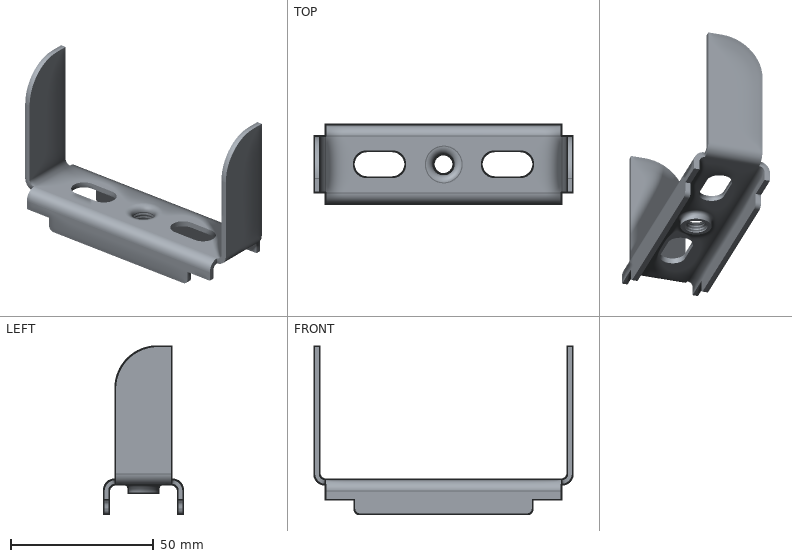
import cadquery as cq
import math

overall_length = 91.0
overall_width = 28.0
overall_height = 59.22

sheet = 2.0
inner_bend = 2.0
outer_bend = inner_bend + sheet

base_length = overall_length - 2 * outer_bend
base_width = overall_width - 2 * outer_bend

flange_depth = 7.3
tab_depth = 12.4
tab_length = 62.8
tab_corner_radius = 2.0

arm_height = overall_height - tab_depth
arm_corner_radius = 15.0

slot_length = 18.0
slot_width = 9.0
slot_spacing = 45.0

collar_radius = 5.45
collar_depth = 5.0
collar_root_fillet = 1.0

mouth_radius = collar_radius + collar_root_fillet
thread_pitch = 1.25
thread_major_radius = 4.0
thread_minor_radius = 3.4
mouth_fillet = mouth_radius - thread_minor_radius

thread_overlap = 0.1
first_groove_depth = 2.38
groove_root_width = 0.4
groove_count = 3


def bent_strip(plane, edge, leg_end, length):
    """Quarter bend from the base edge followed by a straight leg, extruded symmetrically.

    A positive leg_end bends the leg up, a negative one bends it down.
    """
    half_way = math.sqrt(0.5)
    upward = leg_end > 0
    centre_height = inner_bend if upward else -outer_bend
    plate_side = -1 if upward else 1
    top_radius, under_radius = (inner_bend, outer_bend) if upward else (outer_bend, inner_bend)

    def middle(radius):
        return edge + radius * half_way, centre_height + plate_side * radius * half_way

    return (
        cq.Workplane(plane)
        .moveTo(edge, 0)
        .threePointArc(middle(top_radius), (edge + top_radius, centre_height))
        .lineTo(edge + top_radius, leg_end)
        .lineTo(edge + under_radius, leg_end)
        .lineTo(edge + under_radius, centre_height)
        .threePointArc(middle(under_radius), (edge, -sheet))
        .close()
        .extrude(length / 2, both=True)
    )


def make_base():
    plate = cq.Workplane("XY").box(base_length, base_width, sheet, centered=(True, True, False))
    return plate.translate((0, 0, -sheet))


def make_arm():
    """Upright arm at the +X end, rounded at its upper +Y corner."""
    arm = bent_strip("XZ", base_length / 2, arm_height, base_width)
    return arm.edges("|X").edges(">Z and >Y").fillet(arm_corner_radius)


def make_flange():
    """Downward flange on the +Y side with a longer tab in the middle."""
    flange = bent_strip("YZ", base_width / 2, -flange_depth, base_length)
    tab = (
        cq.Workplane("XY")
        .box(tab_length, sheet, tab_depth - outer_bend, centered=(True, False, False))
        .translate((0, overall_width / 2 - sheet, -tab_depth))
        .edges("|Y and <Z")
        .fillet(tab_corner_radius)
    )
    return flange.union(tab)


def make_collar():
    """Solid boss under the base with a concave fillet at its root."""
    arc_offset = collar_root_fillet * (1 - math.sqrt(0.5))
    profile = (
        cq.Workplane("XZ")
        .moveTo(0, 0)
        .lineTo(mouth_radius, 0)
        .lineTo(mouth_radius, -sheet)
        .threePointArc(
            (collar_radius + arc_offset, -sheet - arc_offset),
            (collar_radius, -sheet - collar_root_fillet),
        )
        .lineTo(collar_radius, -collar_depth)
        .lineTo(0, -collar_depth)
        .close()
    )
    return profile.revolve(360, (0, 0, 0), (0, 1, 0))


def make_bore():
    """Bore cutter: rounded mouth running tangentially into the thread's minor cylinder."""
    arc_inset = mouth_fillet * math.sqrt(0.5)
    profile = (
        cq.Workplane("XZ")
        .moveTo(0, 0)
        .lineTo(mouth_radius, 0)
        .threePointArc(
            (mouth_radius - arc_inset, arc_inset - mouth_fillet),
            (thread_minor_radius, -mouth_fillet),
        )
        .lineTo(thread_minor_radius, -collar_depth)
        .lineTo(0, -collar_depth)
        .close()
    )
    return profile.revolve(360, (0, 0, 0), (0, 1, 0))


def make_thread_grooves():
    """Ring-shaped cutters with 60 degree flanks, one per thread pitch, standing in for the thread."""
    inner_radius = thread_minor_radius - thread_overlap
    root_half_width = groove_root_width / 2
    flank_rise = (thread_major_radius - inner_radius) * math.tan(math.radians(30))
    inner_half_width = root_half_width + flank_rise
    ring = (
        cq.Workplane("XZ")
        .moveTo(inner_radius, -inner_half_width)
        .lineTo(thread_major_radius, -root_half_width)
        .lineTo(thread_major_radius, root_half_width)
        .lineTo(inner_radius, inner_half_width)
        .close()
        .revolve(360, (0, 0, 0), (0, 1, 0))
    )
    grooves = cq.Workplane("XY")
    for turn in range(groove_count):
        groove_depth = first_groove_depth + turn * thread_pitch
        grooves = grooves.add(ring.translate((0, 0, -groove_depth)))
    return grooves.combine()


def make_slots():
    return (
        cq.Workplane("XY")
        .pushPoints([(-slot_spacing / 2, 0), (slot_spacing / 2, 0)])
        .slot2D(slot_length, slot_width)
        .extrude(-sheet)
    )


arm = make_arm()
flange = make_flange()

result = make_base()
result = result.union(arm).union(arm.mirror("YZ"))
result = result.union(flange).union(flange.mirror("XZ"))
result = result.union(make_collar())
result = result.cut(make_bore()).cut(make_thread_grooves()).cut(make_slots())